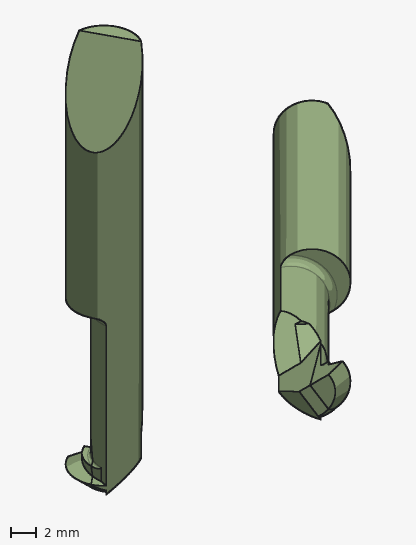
import cadquery as cq
import math

LENGTH = 40.0
BAR_RADIUS = 3.0
SLOPE_ANGLE = math.radians(30)
TOP_FLAT_Y = 1.6

NECK_OFFSET = 2.0
NECK_RADIUS = 2.95
NECK_TOP = 16.5
NECK_FILLET = 0.65
SIDE_X = (NECK_OFFSET**2 + BAR_RADIUS**2 - NECK_RADIUS**2) / (2 * NECK_OFFSET)

EDGE_Z = 0.85
CORE_BOTTOM = EDGE_Z / 2
HEAD_OFFSET = 0.8
HEAD_RADIUS = 2.5
HEEL_RADIUS = 3.2
FLANK_ANGLE = math.radians(30)
COLLAR_OFFSET = 0.95
COLLAR_RADIUS = 2.65
COLLAR_TOP = 2.1
COLLAR_FILLET = 0.25
END_CHAMFER = BAR_RADIUS - SIDE_X

RAKE_Y = 0.2
RAKE_TOP = 4.4
GULLET_LOW = cq.Vector(NECK_OFFSET - NECK_RADIUS, 0, 5.7)
GULLET_SIDE = cq.Vector(-0.7, 1.3, 7.35)
GULLET_BACK = cq.Vector(0.3, 1.9, GULLET_SIDE.z)

JOINT_TOP_X = NECK_OFFSET - NECK_RADIUS
JOINT_TOP_Z = 5.6
JOINT_BOTTOM_X = 0.05

SPAN = 4 * BAR_RADIUS


def prism_along_x(points):
    """Extrude a (Y, Z) outline across the whole bar."""
    return cq.Workplane("YZ").polyline(points).close().extrude(SPAN, both=True)


def prism_along_y(points):
    """Extrude an (X, Z) outline across the whole bar."""
    return cq.Workplane("XZ").polyline(points).close().extrude(SPAN, both=True)


def make_bar():
    """Round bar with the sloped flat at the top and the chamfer at the bottom."""
    bar = cq.Workplane("XY").circle(BAR_RADIUS).extrude(LENGTH)
    slope_drop = (TOP_FLAT_Y + SPAN) / math.tan(SLOPE_ANGLE)
    top_cut = prism_along_x([(TOP_FLAT_Y, LENGTH), (-SPAN, LENGTH), (-SPAN, LENGTH - slope_drop)])
    end_cut = prism_along_y([(SIDE_X, 0), (BAR_RADIUS, 0), (BAR_RADIUS, END_CHAMFER)])
    return bar.cut(top_cut).cut(end_cut)


def make_collar_cylinder(bottom, top):
    """Stretch of the round collar outline between two heights."""
    collar = cq.Workplane("XY", origin=(COLLAR_OFFSET, 0, bottom))
    return collar.circle(COLLAR_RADIUS).extrude(top - bottom)


def make_neck_core():
    """Offset neck cylinder, flared by fillets at the shoulder and at the collar."""
    radius = NECK_RADIUS
    diagonal = 1 - math.sqrt(0.5)
    profile = (
        cq.Workplane("XZ", origin=(NECK_OFFSET, 0, 0))
        .moveTo(0, CORE_BOTTOM)
        .lineTo(radius, CORE_BOTTOM)
        .lineTo(radius, NECK_TOP - NECK_FILLET)
        .threePointArc(
            (radius + NECK_FILLET * diagonal, NECK_TOP - NECK_FILLET * diagonal),
            (radius + NECK_FILLET, NECK_TOP),
        )
        .lineTo(0, NECK_TOP)
        .close()
    )
    core = profile.revolve(360, (0, 0, 0), (0, 1, 0))
    collar_fillet = (
        cq.Workplane("XZ", origin=(NECK_OFFSET, 0, 0))
        .moveTo(0, COLLAR_TOP)
        .lineTo(radius + COLLAR_FILLET, COLLAR_TOP)
        .threePointArc(
            (radius + COLLAR_FILLET * diagonal, COLLAR_TOP + COLLAR_FILLET * diagonal),
            (radius, COLLAR_TOP + COLLAR_FILLET),
        )
        .lineTo(0, COLLAR_TOP + COLLAR_FILLET)
        .close()
        .revolve(360, (0, 0, 0), (0, 1, 0))
    )
    collar_limit = make_collar_cylinder(COLLAR_TOP, COLLAR_TOP + COLLAR_FILLET)
    return core.union(collar_fillet.intersect(collar_limit))


def loft_from_bottom(offset, radius):
    """Join the bottom circle of the head to a circle level with the cutting edge."""
    up = cq.Vector(0, 0, 1)
    bottom = cq.Wire.makeCircle(HEAD_RADIUS, cq.Vector(HEAD_OFFSET, 0, 0), up)
    level = cq.Wire.makeCircle(radius, cq.Vector(offset, 0, EDGE_Z), up)
    return cq.Workplane(cq.Solid.makeLoft([bottom, level], True))


def make_head():
    """Lower flank and heel, upper conical flank, and the collar around its middle."""
    lower_flank = loft_from_bottom(0, BAR_RADIUS)
    heel = loft_from_bottom(HEAD_OFFSET, HEEL_RADIUS).cut(make_tip_region())
    flank_height = COLLAR_TOP - EDGE_Z
    upper_flank = cq.Workplane(
        cq.Solid.makeCone(
            BAR_RADIUS,
            BAR_RADIUS - flank_height / math.tan(FLANK_ANGLE),
            flank_height,
            cq.Vector(0, 0, EDGE_Z),
        )
    )
    collar = make_collar_cylinder(EDGE_Z, COLLAR_TOP)
    return lower_flank.union(heel).union(upper_flank).union(collar)


def make_gullet():
    """Space cleared by the rake face, the slope above it and a skewed side plane."""
    slope_rise = (SPAN - RAKE_Y) / math.tan(SLOPE_ANGLE)
    clearance = prism_along_x(
        [(RAKE_Y, -SPAN), (SPAN, -SPAN), (SPAN, RAKE_TOP + slope_rise), (RAKE_Y, RAKE_TOP)]
    )
    across = GULLET_BACK - GULLET_SIDE
    normal = across.cross(GULLET_SIDE - GULLET_LOW)
    if normal.z > 0:
        normal = normal * -1
    skew = cq.Workplane(cq.Plane(GULLET_LOW, across, normal)).rect(SPAN, SPAN).extrude(SPAN)
    behind_rake = prism_along_x(
        [(RAKE_Y, 0), (SPAN, 0), (SPAN, GULLET_SIDE.z), (RAKE_Y, GULLET_SIDE.z)]
    )
    return clearance.union(skew.intersect(behind_rake))


def make_tool():
    """Complete outer shape shared by the shank and the tip."""
    side = cq.Workplane("XY").box(SPAN, SPAN, NECK_TOP, centered=(False, True, False))
    side = side.translate((SIDE_X, 0, 0))
    upper = cq.Workplane("XY").box(SPAN, SPAN, LENGTH - NECK_TOP, centered=(True, True, False))
    upper = upper.translate((0, 0, NECK_TOP))
    envelope = make_neck_core().union(make_head()).union(side).union(upper)
    return make_bar().intersect(envelope).cut(make_gullet())


def make_tip_region():
    """Everything on the cutting side of the sloping joint."""
    return prism_along_y(
        [(JOINT_BOTTOM_X, 0), (JOINT_TOP_X, JOINT_TOP_Z), (-SPAN, JOINT_TOP_Z), (-SPAN, 0)]
    )


tool = make_tool()
shank = tool.cut(make_tip_region())
tip = tool.intersect(make_tip_region())

result = cq.Compound.makeCompound([shank.val(), tip.val()])